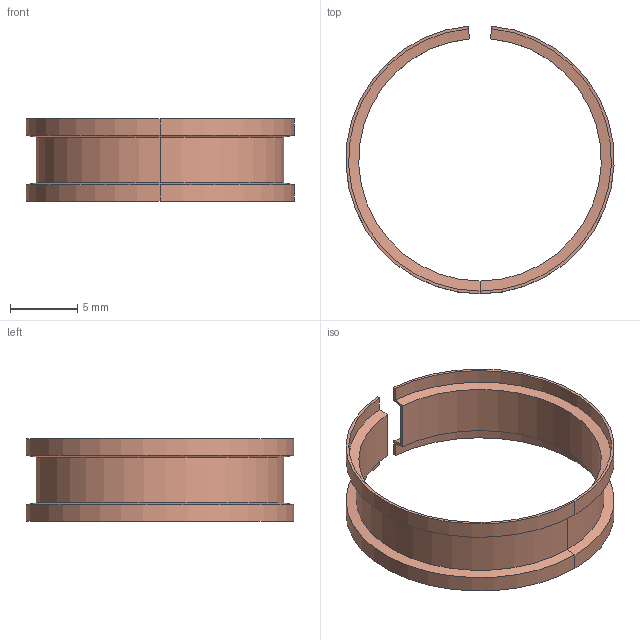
import cadquery as cq
import math

height = 6.1
outer_radius = 9.95
web_inner_radius = 9.0
wall = 0.2
web_height = 3.4
shoulder_angle = 10.0
gap_angle = 10.0

web_outer_radius = web_inner_radius + wall
rim_inner_radius = outer_radius - wall
half_height = height / 2

slope = math.tan(math.radians(shoulder_angle))
shoulder_thickness = wall / math.cos(math.radians(shoulder_angle))
under_web_z = web_height / 2
under_rim_z = under_web_z + slope * (outer_radius - web_outer_radius)
over_rim_z = under_rim_z - slope * (outer_radius - rim_inner_radius) + shoulder_thickness
over_web_z = over_rim_z - slope * (rim_inner_radius - web_inner_radius)


def wall_section():
    """Wall outline in the YZ plane on the -Y side, symmetric about the mid-plane."""
    upper = [
        (web_outer_radius, under_web_z),
        (outer_radius, under_rim_z),
        (outer_radius, half_height),
        (rim_inner_radius, half_height),
        (rim_inner_radius, over_rim_z),
        (web_inner_radius, over_web_z),
    ]
    lower = [(radius, -z) for radius, z in reversed(upper)]
    return cq.Workplane("YZ").polyline([(-radius, z) for radius, z in upper + lower]).close()


def half_ring():
    """One half of the ring, swept from -Y up to the edge of the gap."""
    sweep_angle = (360 - gap_angle) / 2
    return wall_section().revolve(sweep_angle, (0, 0, 0), (0, 1, 0))


half = half_ring()
result = half.union(half.mirror("YZ"), clean=False)